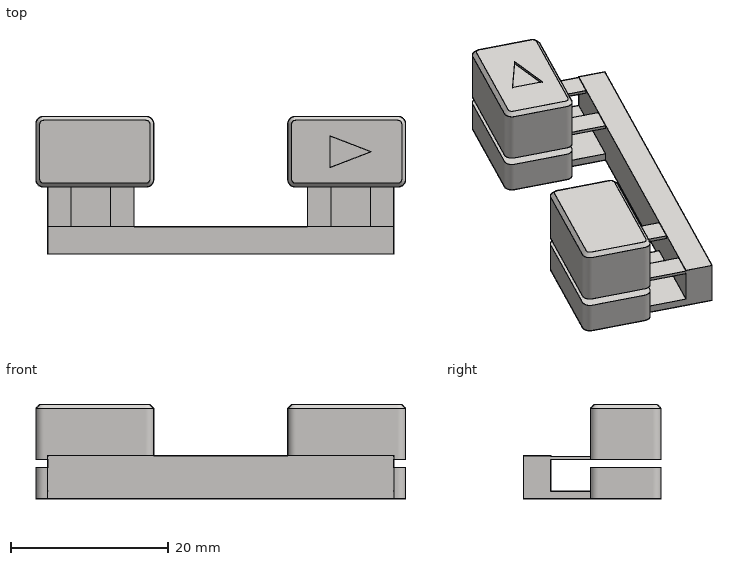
import cadquery as cq

OVERALL_LENGTH = 47.0
OVERALL_DEPTH = 17.5
OVERALL_HEIGHT = 12.0

BUTTON_LENGTH = 15.0
BUTTON_DEPTH = 9.0
CORNER_RADIUS = 1.0
CAP_CHAMFER = 0.5
BLOCK_HEIGHT = 4.0
BUTTON_GAP = 1.0
CAP_BOTTOM = BLOCK_HEIGHT + BUTTON_GAP
CAP_HEIGHT = OVERALL_HEIGHT - CAP_BOTTOM
BUTTON_CENTER_X = (OVERALL_LENGTH - BUTTON_LENGTH) / 2
BUTTON_FRONT_Y = OVERALL_DEPTH - BUTTON_DEPTH
BUTTON_CENTER_Y = BUTTON_FRONT_Y + BUTTON_DEPTH / 2

RAIL_INSET = 1.5
RAIL_LENGTH = OVERALL_LENGTH - 2 * RAIL_INSET
RAIL_DEPTH = 3.5
RAIL_HEIGHT = 5.5

SUPPORT_WIDTH = 11.0
SUPPORT_SPAN = BUTTON_FRONT_Y - RAIL_DEPTH
SUPPORT_CENTER_X = (RAIL_LENGTH - SUPPORT_WIDTH) / 2
PLATE_THICKNESS = 1.0
ARM_WIDTH = 3.0
ARM_THICKNESS = 0.4
ARM_OFFSET_X = (SUPPORT_WIDTH - ARM_WIDTH) / 2
ROOT_OVERLAP = 0.5

TRIANGLE_LENGTH = 5.2
TRIANGLE_WIDTH = 4.0
TRIANGLE_BASE_OFFSET = 2.1
TRIANGLE_BASE_X = BUTTON_CENTER_X - TRIANGLE_BASE_OFFSET
TRIANGLE_DEPTH = 0.3


def box(length, depth, height, center_x, front_y, bottom_z):
    """Box centred on center_x, growing toward +Y and +Z."""
    solid = cq.Workplane("XY").box(length, depth, height, centered=(True, False, False))
    return solid.translate((center_x, front_y, bottom_z))


def button_body(center_x, bottom_z, height):
    """Button-sized block with rounded vertical corners."""
    body = box(BUTTON_LENGTH, BUTTON_DEPTH, height, center_x, BUTTON_FRONT_Y, bottom_z)
    return body.edges("|Z").fillet(CORNER_RADIUS)


def support(width, thickness, center_x, bottom_z):
    """Flat strip bridging the rail and a button."""
    strip_depth = SUPPORT_SPAN + 2 * ROOT_OVERLAP
    return box(width, strip_depth, thickness, center_x, RAIL_DEPTH - ROOT_OVERLAP, bottom_z)


def button_unit(side):
    """Lower block with plate, and cap with arms, of one button; side is -1 for -X and +1 for +X."""
    button_x = side * BUTTON_CENTER_X
    support_x = side * SUPPORT_CENTER_X
    cap = button_body(button_x, CAP_BOTTOM, CAP_HEIGHT).faces(">Z").chamfer(CAP_CHAMFER)
    block = button_body(button_x, 0, BLOCK_HEIGHT)
    lower = block.union(support(SUPPORT_WIDTH, PLATE_THICKNESS, support_x, 0))
    for arm_side in (-1, 1):
        arm_x = support_x + arm_side * ARM_OFFSET_X
        cap = cap.union(support(ARM_WIDTH, ARM_THICKNESS, arm_x, CAP_BOTTOM))
    return lower, cap


def triangle_recess():
    """Cutter for the triangular recess."""
    corners = [
        (TRIANGLE_BASE_X, BUTTON_CENTER_Y - TRIANGLE_WIDTH / 2),
        (TRIANGLE_BASE_X + TRIANGLE_LENGTH, BUTTON_CENTER_Y),
        (TRIANGLE_BASE_X, BUTTON_CENTER_Y + TRIANGLE_WIDTH / 2),
    ]
    top = cq.Workplane("XY").workplane(offset=OVERALL_HEIGHT)
    return top.polyline(corners).close().extrude(-TRIANGLE_DEPTH)


part = box(RAIL_LENGTH, RAIL_DEPTH, RAIL_HEIGHT, 0, 0, 0)
for side in (-1, 1):
    lower_half, upper_half = button_unit(side)
    part = part.union(lower_half).union(upper_half)

result = part.cut(triangle_recess())